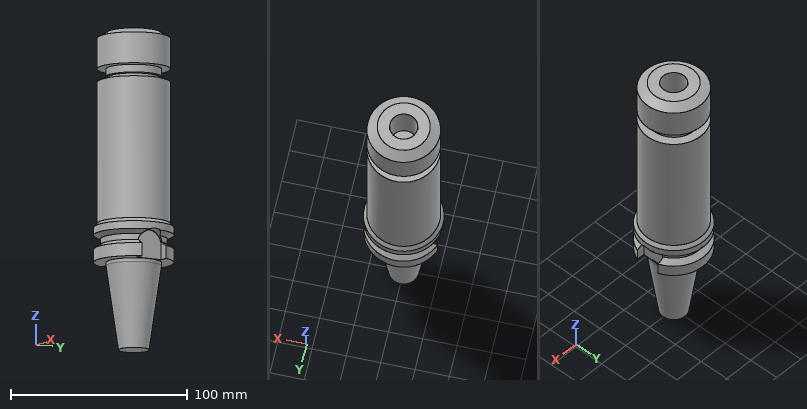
import cadquery as cq

taper_length = 48.5
gauge_radius = 31.7 / 2
taper_ratio = 7 / 24
tip_radius = gauge_radius - taper_length * taper_ratio / 2

flange_radius = 46.0 / 2
groove_radius = 38.1 / 2
flange_bottom = 50.5
lower_rim_top = 58.0
groove_bottom = 60.5
groove_top = 64.0
upper_rim_bottom = 66.2
upper_rim_top = 70.6
flange_top = 72.8

body_radius = 42.0 / 2
body_top = 154.6
lower_neck_radius = 30.6 / 2
neck_step = 157.2
neck_bevel_height = 0.5
upper_neck_radius = gauge_radius
nut_bottom = 162.1
nut_bevel_start = 180.0
nut_face_radius = 30.0 / 2
total_height = 183.4

bore_radius = 16.0 / 2
bore_depth = total_height - nut_bottom

keyway_width = 16.1
keyway_top = 67.0
keyway_floor = 16.3


def revolved_body():
    """Revolve the half outline (radius, height) about the Z axis."""
    outline = [
        (0, 0),
        (tip_radius, 0),
        (gauge_radius, taper_length),
        (gauge_radius, flange_bottom),
        (flange_radius, flange_bottom),
        (flange_radius, lower_rim_top),
        (groove_radius, groove_bottom),
        (groove_radius, groove_top),
        (flange_radius, upper_rim_bottom),
        (flange_radius, upper_rim_top),
        (body_radius, flange_top),
        (body_radius, body_top),
        (lower_neck_radius, body_top),
        (lower_neck_radius, neck_step),
        (upper_neck_radius, neck_step + neck_bevel_height),
        (upper_neck_radius, nut_bottom),
        (body_radius, nut_bottom),
        (body_radius, nut_bevel_start),
        (nut_face_radius, total_height),
        (0, total_height),
    ]
    return cq.Workplane("XZ").polyline(outline).close().revolve(360, (0, 0, 0), (0, 1, 0))


def tool_bore():
    return cq.Workplane("XY").workplane(offset=nut_bottom).circle(bore_radius).extrude(bore_depth)


def keyway_cutter(side):
    """Round-topped slot cut inward from the rim; side is +1 for +X, -1 for -X."""
    half_width = keyway_width / 2
    arc_start = keyway_top - half_width
    return (
        cq.Workplane("YZ")
        .workplane(offset=side * keyway_floor)
        .moveTo(-half_width, flange_bottom)
        .lineTo(half_width, flange_bottom)
        .lineTo(half_width, arc_start)
        .threePointArc((0, keyway_top), (-half_width, arc_start))
        .close()
        .extrude(side * flange_radius)
    )


result = revolved_body().cut(tool_bore())
for side in (-1, 1):
    result = result.cut(keyway_cutter(side))